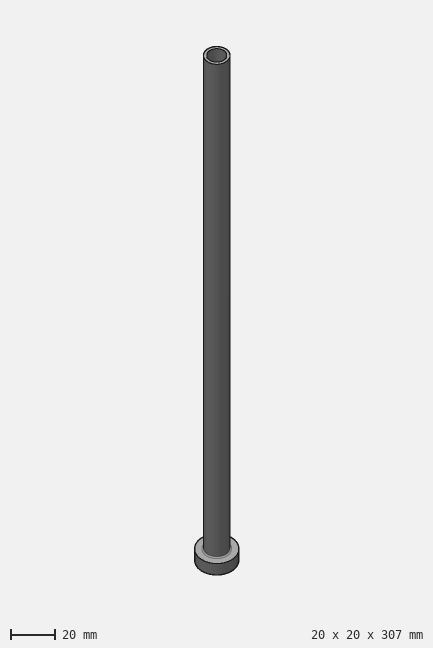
import cadquery as cq

total_length = 307.0
head_diameter = 20.0
head_height = 7.0
tube_diameter = 12.0
bore_diameter = 9.0
neck_fillet = 0.7


def make_outer_profile():
    """Half section of the solid body in the XZ plane, closed along the Z axis."""
    head_radius = head_diameter / 2
    tube_radius = tube_diameter / 2
    return (
        cq.Workplane("XZ")
        .lineTo(head_radius, 0)
        .lineTo(head_radius, head_height)
        .lineTo(tube_radius + neck_fillet, head_height)
        .radiusArc((tube_radius, head_height + neck_fillet), neck_fillet)
        .lineTo(tube_radius, total_length)
        .lineTo(0, total_length)
        .close()
    )


def make_bore():
    return cq.Workplane("XY").circle(bore_diameter / 2).extrude(total_length)


body = make_outer_profile().revolve(360, (0, 0), (0, 1))
result = body.cut(make_bore())